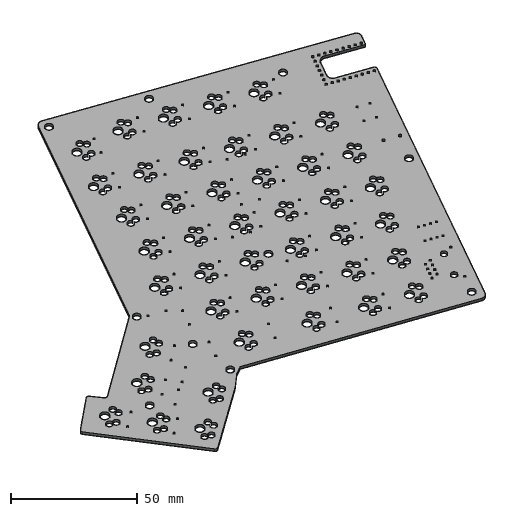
import cadquery as cq
import math

THICKNESS = 1.6
LENGTH_Y = 174.8
FLOOR_Y = 38.7
CORNER_RADIUS = 2.2
BACK_RIGHT_X = 146.2
WING_START_X = 106.6
WING_FRONT_Y = -0.4
WING_RIGHT_X = 183.5
WING_RADIUS = 1.06

NOTCH_LEFT = 7.0
NOTCH_RIGHT = 19.0
NOTCH_FLOOR_Y = 154.8
NOTCH_RADIUS = 2.5
NOTCH_LIP_RADIUS = 1.1

STEM_DIAMETER = 4.0
SWITCH_PIN_DIAMETER = 3.0
SCREW_DIAMETER = 3.5
LEAD_DIAMETER = 0.8
BUTTON_PIN_DIAMETER = 1.2
JACK_PIN_DIAMETER = 0.9
CONTROLLER_PIN_DIAMETER = 1.0
JACK_POST_DIAMETER = 3.0

KEY_PITCH = 95.5 / 5
PIN_PITCH = 20.3 / 8
GRID = PIN_PITCH / 2
LEAD_SPAN = 3 * PIN_PITCH
DIODE_RISE = 9.5
THUMB_ANGLE = -30.0


def turned(x, y, angle):
    """The point (x, y) turned about the origin by an angle in degrees."""
    a = math.radians(angle)
    return x * math.cos(a) - y * math.sin(a), x * math.sin(a) + y * math.cos(a)


def key_run(x, first_y, count):
    """Stem centres of keys one pitch apart along Y."""
    return [(x, first_y + KEY_PITCH * i) for i in range(count)]


def pair(x, y, angle=0.0):
    """The two lead holes of a part centred on (x, y)."""
    dx, dy = turned(LEAD_SPAN / 2, 0, angle)
    return [(x - dx, y - dy), (x + dx, y + dy)]


def switch_pins(x, y, angle=0.0):
    """Four pin holes that let a switch be fitted from either face."""
    points = []
    outer_pin = (3, 2)
    inner_pin = (2, 4)
    for side in (-1, 1):
        for across, along in (outer_pin, inner_pin):
            dx, dy = turned(side * across * GRID, along * GRID, angle)
            points.append((x + dx, y + dy))
    return points


OUTER_COLUMN_X = 15.2
FIRST_COLUMN_X = 39.0
columns_x = [FIRST_COLUMN_X + KEY_PITCH * i for i in range(6)]
keys_with_diode = (
    key_run(OUTER_COLUMN_X, 67.5, 4)
    + key_run(columns_x[0], 48.4, 5)
    + key_run(columns_x[1], 53.1, 5)
    + key_run(columns_x[2], 55.7, 5)
    + key_run(columns_x[3], 53.1, 2)
    + key_run(columns_x[3], 110.3, 2)
    + key_run(columns_x[4], 69.8, 4)
    + [(columns_x[5], 127.1)]
)
keys_without_diode = [
    (20.0, 48.4),
    (columns_x[0], 144.0),
    (columns_x[1], 148.5),
    (columns_x[2], 151.0),
    (columns_x[3], 91.2),
    (columns_x[3], 148.2),
    (columns_x[4], 146.4),
    (columns_x[5], 74.7),
    (columns_x[5], 103.3),
    (columns_x[5], 146.4),
]
main_keys = keys_with_diode + keys_without_diode

THUMB_ORIGIN = (123.7, 39.0)
THUMB_PLACES = [(0, 0), (1, 0), (1, 1.5), (2, 1.5), (2, 0.5), (2, -0.5)]
thumb_keys = []
for column, row in THUMB_PLACES:
    shift_x, shift_y = turned(column * KEY_PITCH, row * KEY_PITCH, THUMB_ANGLE)
    thumb_keys.append((THUMB_ORIGIN[0] + shift_x, THUMB_ORIGIN[1] + shift_y))

stems = main_keys + thumb_keys
pins = []
for key_x, key_y in main_keys:
    pins += switch_pins(key_x, key_y)
for key_x, key_y in thumb_keys:
    pins += switch_pins(key_x, key_y, THUMB_ANGLE)

level_parts = [(x, y + DIODE_RISE) for x, y in keys_with_diode]
level_parts += [
    (19.6, 57.2),
    (40.0, 160.5),
    (40.0, 165.8),
    (115.2, 59.4),
    (134.1, 63.5),
    (133.4, 88.9),
    (134.1, 114.7),
]
RESISTOR_X = 106.6
RESISTOR_FRONT_Y = 161.8
RESISTOR_COUNT = 4
level_parts += [(RESISTOR_X, RESISTOR_FRONT_Y + PIN_PITCH * i) for i in range(RESISTOR_COUNT)]

upright_parts = [(44.0, 106.6), (67.8, 103.9), (82.5, 94.7), (101.5, 110.8), (109.2, 49.3)]
thumb_parts = [(130.6, 48.2), (142.7, 48.4), (146.0, 38.7), (152.6, 41.8), (166.5, 36.3), (157.0, 20.2)]

leads = []
for parts, angle in ((level_parts, 0), (upright_parts, 90), (thumb_parts, THUMB_ANGLE)):
    for part_x, part_y in parts:
        leads += pair(part_x, part_y, angle)

BUTTON_X = 55.9
BUTTON_Y = 167.8
BUTTON_PIN_SPAN = 7.0
button_pins = [(BUTTON_X, BUTTON_Y + side * BUTTON_PIN_SPAN / 2) for side in (-1, 1)]

CONTROLLER_LEFT = 5.7
CONTROLLER_FRONT_Y = 153.0
SIDE_PINS = 9
FRONT_PINS = 7
controller_right = CONTROLLER_LEFT + (FRONT_PINS - 1) * PIN_PITCH
controller_pins = [(CONTROLLER_LEFT + PIN_PITCH * i, CONTROLLER_FRONT_Y) for i in range(FRONT_PINS)]
for side_x in (CONTROLLER_LEFT, controller_right):
    controller_pins += [(side_x, CONTROLLER_FRONT_Y + PIN_PITCH * i) for i in range(1, SIDE_PINS)]

JACK_X = 125.1
JACK_POST_Y = 166.5
JACK_POST_SPAN = 11.5
JACK_SHIELD_Y = 170.2
JACK_SHIELD_SPAN = 16.1
JACK_FRONT_Y = 157.7
JACK_ROW_PINS = 4
jack_posts = [(JACK_X + side * JACK_POST_SPAN / 2, JACK_POST_Y) for side in (-1, 1)]
jack_pins = [(JACK_X + side * JACK_SHIELD_SPAN / 2, JACK_SHIELD_Y) for side in (-1, 1)]
for i in range(2 * JACK_ROW_PINS):
    row_y = JACK_FRONT_Y + PIN_PITCH * ((i + 1) % 2)
    jack_pins.append((JACK_X + GRID * (i - JACK_ROW_PINS + 0.5), row_y))

screws = [
    (3.8, 42.5),
    (3.8, 84.6),
    (9.3, 139.0),
    (68.2, 170.5),
    (95.5, 101.3),
    (108.0, 41.2),
    (129.0, 57.2),
    (141.6, 170.0),
    (146.5, 66.5),
    (153.0, 30.2),
]


def rounded(body, corner, radius):
    """The plate with its upright edge at one outline corner rounded."""
    x, y = corner
    nearest = cq.selectors.NearestToPointSelector((x, y, THICKNESS / 2))
    return body.edges("|Z").edges(nearest).fillet(radius)


def board():
    """Square key field with a slanted thumb wing and the controller notch."""
    front_left = (0, FLOOR_Y)
    back_left = (0, LENGTH_Y)
    back_right = (BACK_RIGHT_X, LENGTH_Y)
    wing_inner = (143.6, 15.5)
    wing_left = (139.8, 8.5)
    wing_front = (156.3, WING_FRONT_Y)
    wing_right = (WING_RIGHT_X, 47.5)
    shoulder = [(155.7, 65.2), (149.5, 68.2), (146.5, 70.7)]
    outline = [
        front_left,
        (WING_START_X, FLOOR_Y),
        wing_inner,
        wing_left,
        wing_front,
        wing_right,
        *shoulder,
        back_right,
        (NOTCH_RIGHT, LENGTH_Y),
        (NOTCH_RIGHT, NOTCH_FLOOR_Y),
        (NOTCH_LEFT, NOTCH_FLOOR_Y),
        (NOTCH_LEFT, LENGTH_Y),
        back_left,
    ]
    body = cq.Workplane("XY").polyline(outline).close().extrude(THICKNESS)
    for corner in (front_left, back_left, back_right):
        body = rounded(body, corner, CORNER_RADIUS)
    for corner in (wing_inner, wing_left, wing_front, wing_right):
        body = rounded(body, corner, WING_RADIUS)
    for notch_x in (NOTCH_LEFT, NOTCH_RIGHT):
        body = rounded(body, (notch_x, NOTCH_FLOOR_Y), NOTCH_RADIUS)
    return rounded(body, (NOTCH_RIGHT, LENGTH_Y), NOTCH_LIP_RADIUS)


def drill(body, points, diameter):
    """Through holes of one diameter."""
    tools = cq.Workplane("XY").pushPoints(points).circle(diameter / 2).extrude(THICKNESS)
    return body.cut(tools)


result = board()
for centres, size in (
    (stems, STEM_DIAMETER),
    (pins, SWITCH_PIN_DIAMETER),
    (leads, LEAD_DIAMETER),
    (controller_pins, CONTROLLER_PIN_DIAMETER),
    (button_pins, BUTTON_PIN_DIAMETER),
    (jack_pins, JACK_PIN_DIAMETER),
    (jack_posts, JACK_POST_DIAMETER),
    (screws, SCREW_DIAMETER),
):
    result = drill(result, centres, size)